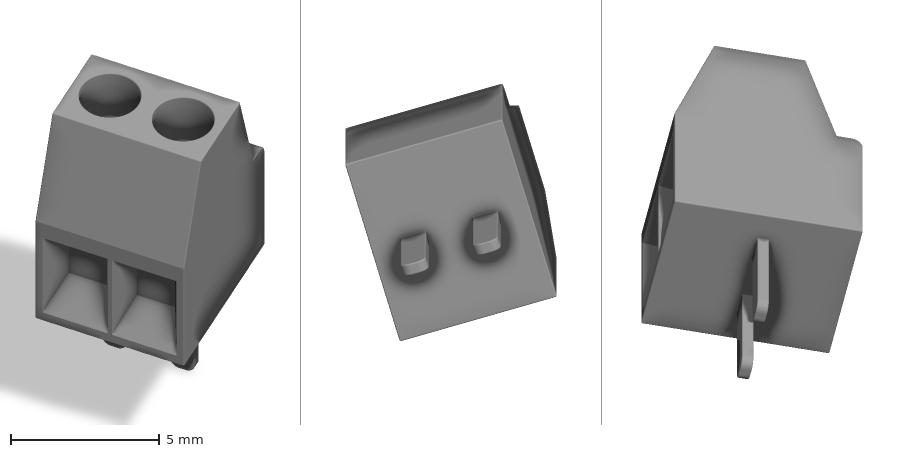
import cadquery as cq


width = 5.54
depth = 6.5
height = 8.5
front_y = -depth / 2
back_y = depth / 2
front_wall_height = 4.62
top_front_y = front_y + 1.37
top_back_y = front_y + 4.52
ledge_height = 4.8
ledge_depth = 0.9
ledge_radius = 0.4
edge_radius = 0.05

poles = 2
pitch = 2.54

entry_width = 2.41
entry_bottom = 0.4
entry_top = 3.93
entry_spacing = 2.58
entry_depth = 1.0
seat_spacing = pitch
seat_width = 1.41
seat_bottom = 1.6
seat_top = 3.12

screw_diameter = 2.1
screw_spacing = 2.73
screw_depth = 2.0
screw_y = front_y + 2.97

pin_width = 0.9
pin_thickness = 0.4
pin_length = 3.5
pin_tip_radius = 0.33
pin_overlap = 0.2
pin_y = 0.03

selection_margin = 0.01


def pole_positions(spacing):
    """X positions of the poles, centred on the housing."""
    return [(pole - (poles - 1) / 2) * spacing for pole in range(poles)]


def make_housing():
    """Side profile extruded across the width, with its outer edges softened."""
    profile = [
        (front_y, 0),
        (front_y, front_wall_height),
        (top_front_y, height),
        (top_back_y, height),
        (back_y - ledge_depth, ledge_height),
        (back_y, ledge_height),
        (back_y, 0),
    ]
    housing = cq.Workplane("YZ").polyline(profile).close().extrude(width / 2, both=True)
    ledge_corner = (0, back_y, ledge_height)
    housing = housing.edges(cq.selectors.NearestToPointSelector(ledge_corner)).fillet(ledge_radius)
    return housing.faces("<X or >X or <Z or >Z").edges().fillet(edge_radius)


def make_wire_entry(mouth_x, seat_x):
    """Pocket that narrows from its mouth in the front wall to a flat seat."""
    mouth_z = (entry_bottom + entry_top) / 2
    seat_z = (seat_bottom + seat_top) / 2
    return (
        cq.Workplane("XZ", origin=(0, front_y, 0))
        .center(mouth_x, mouth_z)
        .rect(entry_width, entry_top - entry_bottom)
        .workplane(offset=-entry_depth)
        .center(seat_x - mouth_x, seat_z - mouth_z)
        .rect(seat_width, seat_top - seat_bottom)
        .loft(ruled=True)
    )


def cut_screw_holes(body):
    """Flat-bottomed screw holes with a softened rim."""
    centers = [(x, screw_y) for x in pole_positions(screw_spacing)]
    holes = (
        cq.Workplane("XY", origin=(0, 0, height - screw_depth))
        .pushPoints(centers)
        .circle(screw_diameter / 2)
        .extrude(screw_depth)
    )
    return body.cut(holes).faces(">Z").edges("%CIRCLE").fillet(edge_radius)


def make_pin(x):
    """Flat pin with rounded tip corners and softened edges, reaching into the housing."""
    return (
        cq.Workplane("XY", origin=(x, pin_y, -pin_length))
        .rect(pin_width, pin_thickness)
        .extrude(pin_length + pin_overlap)
        .faces("<Z")
        .edges("|Y")
        .fillet(pin_tip_radius)
        .faces("<Y or >Y")
        .edges("not >Z")
        .fillet(edge_radius)
    )


def fillet_pin_roots(body):
    """Small fillet where each pin meets the underside."""
    half_span = pitch * (poles - 1) / 2 + pin_width / 2 + selection_margin
    half_thickness = pin_thickness / 2 + selection_margin
    roots = cq.selectors.BoxSelector(
        (-half_span, pin_y - half_thickness, -selection_margin),
        (half_span, pin_y + half_thickness, selection_margin),
    )
    return body.edges(roots).fillet(edge_radius)


body = cut_screw_holes(make_housing())
for mouth_x, seat_x in zip(pole_positions(entry_spacing), pole_positions(seat_spacing)):
    body = body.cut(make_wire_entry(mouth_x, seat_x))
for pin_x in pole_positions(pitch):
    body = body.union(make_pin(pin_x))
result = fillet_pin_roots(body)